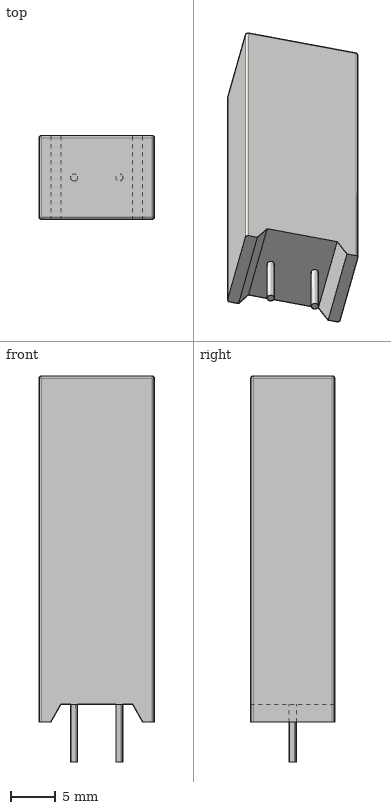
import cadquery as cq

total_height = 43.5
housing_width = 13.0
housing_depth = 9.5
edge_radius = 0.3

notch_height = 2.0
notch_top_width = 8.1
notch_bottom_width = 10.35

pin_radius = 0.4
pin_pitch = 5.1
pin_below_feet = 4.5

housing_height = total_height - pin_below_feet
pin_length = pin_below_feet + notch_height


def make_housing():
    """Block with rounded vertical and top edges, standing on two feet."""
    block = (
        cq.Workplane("XY")
        .box(housing_width, housing_depth, housing_height, centered=(True, True, False))
        .edges("|Z or >Z")
        .fillet(edge_radius)
    )
    notch = (
        cq.Workplane("XZ")
        .polyline([
            (-notch_bottom_width / 2, 0),
            (-notch_top_width / 2, notch_height),
            (notch_top_width / 2, notch_height),
            (notch_bottom_width / 2, 0),
        ])
        .close()
        .extrude(housing_depth / 2, both=True)
    )
    return block.cut(notch)


def make_pin(x):
    """Straight round pin hanging from the notch ceiling at the given X."""
    return (
        cq.Workplane("XY", origin=(x, 0, -pin_below_feet))
        .circle(pin_radius)
        .extrude(pin_length)
    )


housing = make_housing()
pins = [make_pin(side * pin_pitch / 2) for side in (-1, 1)]

result = cq.Compound.makeCompound([housing.val(), *[pin.val() for pin in pins]])